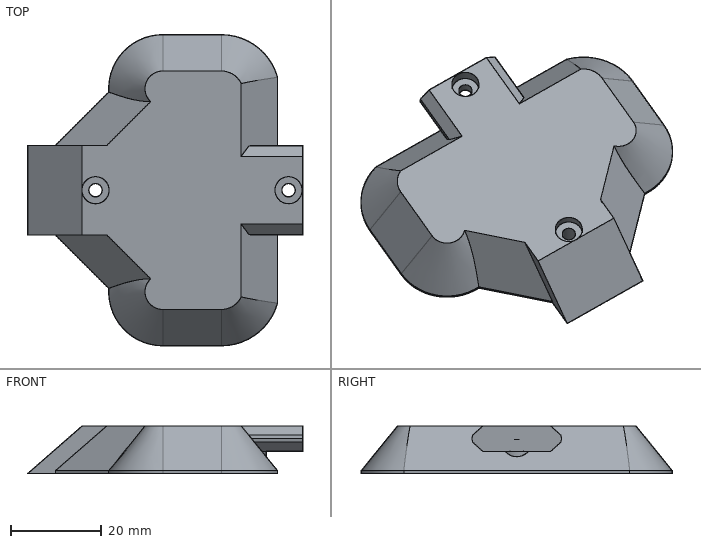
import cadquery as cq
import math

height = 10.6
half_width = 34.55
total_length = 61.1

rim_height = 0.6
wall_inset = 8.1
wall_height = height - rim_height
wall_taper = math.degrees(math.atan(wall_inset / wall_height))

rear_x = 55.5
left_radius = 12.0
left_center_x = 30.0
left_center_y = half_width - left_radius
right_radius = 13.0
right_center_x = 43.0
right_center_y = half_width - right_radius
lobe_overlap_y = 13.8
left_arc_start = 225
left_arc_end = 90

nose_half_width = 9.95
nose_top_x = 12.1
nose_end_x = 27.65
diagonal_start_x = 6.15
core_peak_x = 27.65
core_end_x = 48.4

arm_start_x = 34.55
arm_bottom_z = 4.9
arm_flat_half_width = 7.5
arm_shoulder_half_width = 9.8
arm_half_width = 9.95
arm_bevel_height = 2.1
arm_middle_z = (height + arm_bottom_z) / 2

pad_diameter = 7.8
pad_x = 49.05

hole_diameter = 2.9
counterbore_diameter = 6.0
front_hole_x = 15.05
front_counterbore_depth = 2.2
rear_hole_x = 57.9
rear_counterbore_depth = 3.0


def raise_walls(outline):
    """Extrude a closed outline as a vertical rim topped by inward-sloping walls."""
    rim = cq.Workplane("XY").add(outline).toPending().extrude(rim_height)
    slope = (
        cq.Workplane("XY")
        .add(outline.translate((0, 0, rim_height)))
        .toPending()
        .extrude(wall_height, taper=wall_taper)
    )
    return rim.union(slope)


def make_lobe():
    def on_left_arc(degrees):
        angle = math.radians(degrees)
        return (
            left_center_x + left_radius * math.cos(angle),
            left_center_y + left_radius * math.sin(angle),
        )

    def on_right_arc(angle):
        return (
            right_center_x + right_radius * math.cos(angle),
            right_center_y + right_radius * math.sin(angle),
        )

    left_end = on_left_arc(left_arc_start)
    tangent_end_x = left_end[0] + left_end[1] + lobe_overlap_y
    left_arc_middle = (left_arc_start + left_arc_end) / 2
    right_end_angle = math.acos((rear_x - right_center_x) / right_radius)
    right_middle_angle = (right_end_angle + math.pi / 2) / 2
    outline = (
        cq.Workplane("XY")
        .moveTo(*left_end)
        .threePointArc(on_left_arc(left_arc_middle), on_left_arc(left_arc_end))
        .lineTo(right_center_x, half_width)
        .threePointArc(on_right_arc(right_middle_angle), on_right_arc(right_end_angle))
        .lineTo(rear_x, -lobe_overlap_y)
        .lineTo(tangent_end_x, -lobe_overlap_y)
        .close()
        .val()
    )
    return raise_walls(outline)


def make_core():
    peak_y = nose_half_width + core_peak_x - diagonal_start_x
    end_y = peak_y - (core_end_x - core_peak_x)
    upper = [(diagonal_start_x, nose_half_width), (core_peak_x, peak_y), (core_end_x, end_y)]
    lower = [(x, -y) for x, y in reversed(upper)]
    return raise_walls(cq.Workplane("XY").polyline(upper + lower).close().val())


def make_nose():
    return (
        cq.Workplane("XZ")
        .polyline([(0, 0), (nose_top_x, height), (nose_end_x, height), (nose_end_x, 0)])
        .close()
        .extrude(nose_half_width, both=True)
    )


def make_arm():
    side = [
        (arm_flat_half_width, height),
        (arm_shoulder_half_width, height - arm_bevel_height),
        (arm_half_width, arm_middle_z),
        (arm_shoulder_half_width, arm_bottom_z + arm_bevel_height),
        (arm_flat_half_width, arm_bottom_z),
    ]
    opposite_side = [(-y, z) for y, z in reversed(side)]
    return (
        cq.Workplane("YZ", origin=(arm_start_x, 0, 0))
        .polyline(side + opposite_side)
        .close()
        .extrude(total_length - arm_start_x)
    )


def make_pad():
    return cq.Workplane("XY").center(pad_x, 0).circle(pad_diameter / 2).extrude(arm_middle_z)


def cut_screw_hole(body, x, depth):
    top_plane = cq.Workplane("XY", origin=(x, 0, height))
    return body.copyWorkplane(top_plane).cboreHole(hole_diameter, counterbore_diameter, depth)


lobe = make_lobe()
body = (
    make_core()
    .union(lobe)
    .union(lobe.mirror("XZ"))
    .union(make_nose())
    .union(make_arm())
    .union(make_pad())
    .clean()
)

body = cut_screw_hole(body, front_hole_x, front_counterbore_depth)
body = cut_screw_hole(body, rear_hole_x, rear_counterbore_depth)
result = body.solids()